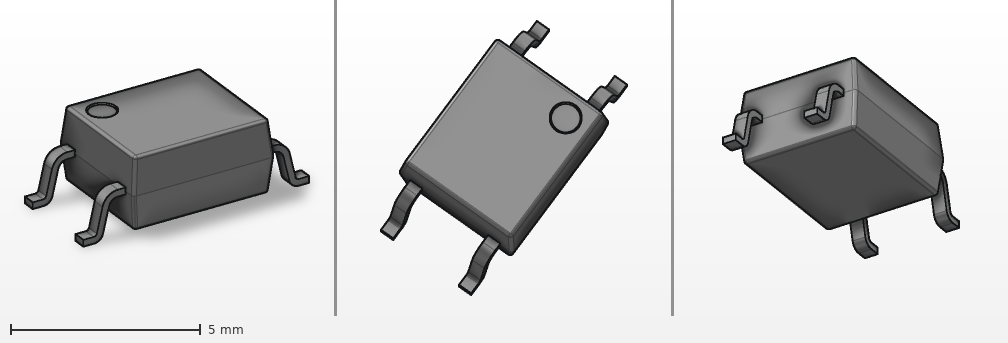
import cadquery as cq
import math

body_width = 3.7
body_length = 4.395
body_bottom = 0.2
half_height = 1.1
draft_angle = 6.0
edge_radius = 0.1
parting_z = body_bottom + half_height
body_top = parting_z + half_height

mark_x = -1.0
mark_y = -1.39
mark_top_radius = 0.43
mark_floor_radius = 0.385
mark_depth = 0.035

lead_span = 7.0
lead_width = 0.4
lead_pitch = 2.54
lead_thickness = 0.2
foot_length = 0.32
foot_inner_radius = 0.1
shoulder_start = 2.42
shoulder_inner_radius = 0.295
lead_embed = 0.21


def half_body(direction):
    """Drafted half, growing up (1) or down (-1) from the parting plane."""
    half = (
        cq.Workplane("XY")
        .rect(body_width, body_length)
        .extrude(half_height, taper=draft_angle)
    )
    half = half.edges("not #Z").fillet(edge_radius)
    half = half.faces(">Z").edges().fillet(edge_radius)
    if direction < 0:
        half = half.mirror("XY")
    return half.translate((0, 0, parting_z))


def pin_one_mark():
    """Conical cutter, wider at the top face than at its floor."""
    return (
        cq.Workplane("XY", origin=(mark_x, mark_y, body_top))
        .circle(mark_top_radius)
        .workplane(offset=-mark_depth)
        .circle(mark_floor_radius)
        .loft()
    )


def lead(x_center):
    """Lead on the +Y side: shoulder, leaning leg and flat foot."""
    foot_outer_radius = foot_inner_radius + lead_thickness
    shoulder_outer_radius = shoulder_inner_radius + lead_thickness
    shoulder_top = parting_z + lead_thickness / 2
    shoulder_bottom = shoulder_top - lead_thickness
    inner_y = body_length / 2 - lead_embed
    toe_y = lead_span / 2
    foot_y = toe_y - foot_length
    foot_center = (foot_y, foot_outer_radius)
    shoulder_center = (shoulder_start, shoulder_top - shoulder_outer_radius)

    run = foot_center[0] - shoulder_center[0]
    rise = shoulder_center[1] - foot_center[1]
    radius_sum = shoulder_outer_radius + foot_inner_radius
    leg_slope = math.atan2(rise, run) + math.asin(radius_sum / math.hypot(run, rise))
    leg_normal = math.pi / 2 - leg_slope

    def shoulder_point(radius, angle):
        return (
            shoulder_center[0] + radius * math.cos(angle),
            shoulder_center[1] + radius * math.sin(angle),
        )

    def foot_point(radius, angle):
        return (
            foot_center[0] - radius * math.cos(angle),
            foot_center[1] - radius * math.sin(angle),
        )

    bend_middle = (leg_normal + math.pi / 2) / 2
    profile = (
        cq.Workplane("YZ", origin=(x_center, 0, 0))
        .moveTo(inner_y, shoulder_top)
        .lineTo(shoulder_start, shoulder_top)
        .threePointArc(
            shoulder_point(shoulder_outer_radius, bend_middle),
            shoulder_point(shoulder_outer_radius, leg_normal),
        )
        .lineTo(*foot_point(foot_inner_radius, leg_normal))
        .threePointArc(
            foot_point(foot_inner_radius, bend_middle),
            (foot_y, lead_thickness),
        )
        .lineTo(toe_y, lead_thickness)
        .lineTo(toe_y, 0)
        .lineTo(foot_y, 0)
        .threePointArc(
            foot_point(foot_outer_radius, bend_middle),
            foot_point(foot_outer_radius, leg_normal),
        )
        .lineTo(*shoulder_point(shoulder_inner_radius, leg_normal))
        .threePointArc(
            shoulder_point(shoulder_inner_radius, bend_middle),
            (shoulder_start, shoulder_bottom),
        )
        .lineTo(inner_y, shoulder_bottom)
        .close()
    )
    return profile.extrude(lead_width / 2, both=True)


result = half_body(1).union(half_body(-1)).cut(pin_one_mark())
for lead_x in (-lead_pitch / 2, lead_pitch / 2):
    rear_lead = lead(lead_x)
    result = result.union(rear_lead).union(rear_lead.mirror("XZ"))